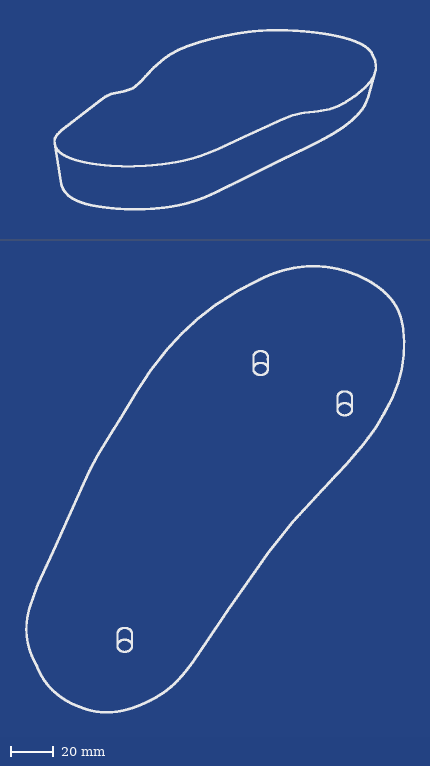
import cadquery as cq
import math

length = 274.0
forefoot_height = 16.0
heel_height = 23.5
ramp_points = [(101.5, heel_height), (119.5, 22.5), (145.2, 17.5), (165.8, forefoot_height)]

toe_spring_start = 230.2
toe_spring_rise = 3.5
bottom_edge_radius = 3.8

pin_diameter = 6.9
pin_length = 10.0
pin_embed = 5.5
pin_places = [(-27.5, 220.9), (17.8, 220.9), (-5.0, 54.8)]

rim = [
    (-4.0, 0.0, 19), (10.1, 3.3, 17), (19.7, 10.0, 14), (29.5, 23.0, 10),
    (34.3, 36.2, 8), (39.0, 62.5, 8), (43.3, 89.0, 10), (47.7, 115.4, 13),
    (51.5, 148.2, 15), (53.2, 172.5, 16), (51.5, 201.0, 16), (45.0, 227.7, 15),
    (37.8, 243.5, 13), (29.0, 257.5, 11), (17.5, 267.7, 9), (-5.2, 274.0, 8),
    (-28.2, 267.7, 9), (-40.3, 254.0, 11), (-47.0, 240.5, 13), (-52.3, 220.9, 15),
    (-52.5, 201.0, 15), (-50.1, 174.8, 17), (-46.9, 148.2, 17), (-45.5, 112.3, 13),
    (-44.5, 79.5, 9), (-43.8, 54.8, 7), (-41.7, 35.5, 8), (-36.7, 23.0, 10),
    (-27.7, 10.0, 14), (-17.3, 2.7, 17),
]
overshoot = 13.7


def rim_height(y):
    """Approximate height of the top face along the length."""
    ramp_start, ramp_end = ramp_points[0][0], ramp_points[-1][0]
    along = min(max((y - ramp_start) / (ramp_end - ramp_start), 0), 1)
    blend = (1 - math.cos(math.pi * along)) / 2
    return heel_height + (forefoot_height - heel_height) * blend


def wall_section(z):
    """Points of the drafted wall at height z, offset along the rim normals."""
    points = []
    for i, (x, y, draft) in enumerate(rim):
        before = rim[i - 1]
        after = rim[(i + 1) % len(rim)]
        dx = after[0] - before[0]
        dy = after[1] - before[1]
        offset = (z - rim_height(y)) * math.tan(math.radians(draft)) / math.hypot(dx, dy)
        points.append((x + dy * offset, y - dx * offset))
    return points


def make_drafted_block():
    return (
        cq.Workplane("XY").spline(wall_section(0), periodic=True).close()
        .workplane(offset=heel_height).spline(wall_section(heel_height), periodic=True).close()
        .loft(ruled=True)
    )


def make_side_envelope():
    """Side profile with the stepped top and the upswept toe, swept across the width."""
    spring_run = length - toe_spring_start
    spring_end = length + overshoot
    end_rise = toe_spring_rise * ((spring_end - toe_spring_start) / spring_run) ** 2
    profile = (
        cq.Workplane("YZ", origin=(-length / 2, 0, 0)).moveTo(-overshoot, 0)
        .lineTo(toe_spring_start, 0)
        .bezier([(toe_spring_start, 0), ((toe_spring_start + spring_end) / 2, 0), (spring_end, end_rise)])
        .lineTo(spring_end, forefoot_height)
        .lineTo(*ramp_points[-1])
        .spline(ramp_points[-2::-1], tangents=[(-1, 0), (-1, 0)], includeCurrent=True)
        .lineTo(-overshoot, heel_height)
        .close()
    )
    return profile.extrude(length)


def make_pins():
    return (
        cq.Workplane("XY").workplane(offset=-pin_length)
        .pushPoints(pin_places).circle(pin_diameter / 2).extrude(pin_length + pin_embed)
    )


sole = make_drafted_block().intersect(make_side_envelope())
sole = sole.faces("<Z").edges().fillet(bottom_edge_radius)
result = sole.union(make_pins())